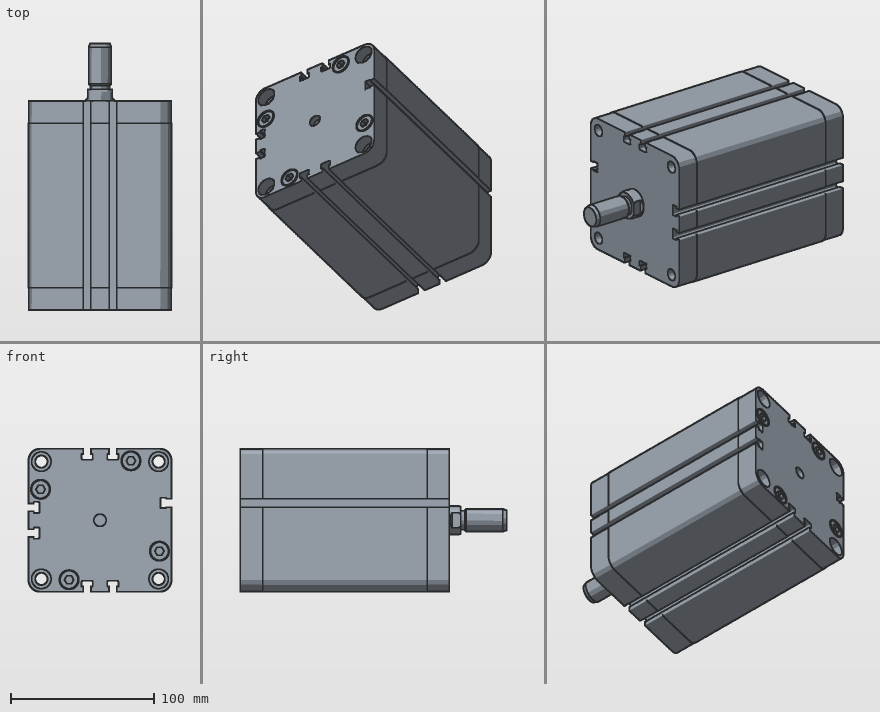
import cadquery as cq
import math

TOTAL_LENGTH = 186.0
BODY_LENGTH = 146.0
CAP_LENGTH = 15.6
BARREL_LENGTH = BODY_LENGTH - 2 * CAP_LENGTH
FRONT_Y = -TOTAL_LENGTH / 2
BACK_Y = FRONT_Y + BODY_LENGTH
TIP_Y = TOTAL_LENGTH / 2

BARREL_WIDTH = 100.0
BARREL_CORNER = 8.4
CAP_INSET = 0.28

TOP_SIDE = 0
RIGHT_SIDE = 90
BOTTOM_SIDE = 180
LEFT_SIDE = -90

SLOT_OFFSET = 9.0
SLOT_MOUTH = 5.2
SLOT_INNER = 7.6
SLOT_LIP = 3.9
SLOT_DEPTH = 7.8
SLOT_INNER_RADIUS = 1.0
SLOT_MOUTH_RADIUS = 0.4

SENSOR_SLOT_Z = 12.0
SENSOR_SLOT_MOUTH = 5.8
SENSOR_SLOT_INNER = 6.9
SENSOR_SLOT_LIP = 3.9
SENSOR_SLOT_DEPTH = 7.8

MOUNT_OFFSET = 41.0
MOUNT_HOLE = 8.4
MOUNT_COUNTERBORE = 13.5
MOUNT_COUNTERBORE_DEPTH = 8.5

SCREW_OUT = 41.5
SCREW_SIDE = 21.5
SCREW_RECESS = 13.5
SCREW_HEAD = 12.5
SCREW_GROOVE_DEPTH = 0.5
SOCKET_FLATS = 5.5
SOCKET_DEPTH = 3.7

CENTER_HOLE = 8.5
CENTER_HOLE_DEPTH = 4.6

COLLAR_DIAMETER = 20.0
COLLAR_LENGTH = 8.0
COLLAR_CHAMFER = 0.5
COLLAR_CHAMFER_LENGTH = 1.9
COLLAR_FLATS = 17.1
FLAT_LENGTH = 6.1
NECK_DIAMETER = 13.5
NECK_LENGTH = 3.7
THREAD_DIAMETER = 16.0
TIP_DIAMETER = 14.0
TIP_CHAMFER_LENGTH = 2.8


def front_plane(y, x=0, z=0):
    """Workplane facing -Y at the given point; negative extrusions run toward +Y."""
    return cq.Workplane("XZ", origin=(x, y, z))


def t_slot(section, offset, mouth, inner, lip, depth, inner_radius=0, mouth_radius=0):
    """T-slot along a (start, length, width) section, open through its top side at X = offset.

    Lip and depth are measured down from the barrel surface.
    """
    y, length, width = section
    barrel_z = BARREL_WIDTH / 2
    floor_height = depth - lip
    half = mouth / 2
    wide = (
        front_plane(y, offset, barrel_z - lip - floor_height / 2)
        .rect(inner, floor_height)
        .extrude(-length)
    )
    if inner_radius:
        wide = wide.edges("|Y and <Z").fillet(inner_radius)
    narrow = front_plane(y, offset, barrel_z - depth / 2).rect(mouth, depth).extrude(-length)
    slot = wide.union(narrow)
    if mouth_radius:
        flare = (
            front_plane(y, offset, width / 2)
            .moveTo(-half - mouth_radius, 0)
            .lineTo(half + mouth_radius, 0)
            .radiusArc((half, -mouth_radius), -mouth_radius)
            .lineTo(-half, -mouth_radius)
            .radiusArc((-half - mouth_radius, 0), -mouth_radius)
            .close()
            .extrude(-length)
        )
        slot = slot.union(flare)
    return slot


def turned(shape, angle):
    return shape.rotate((0, 0, 0), (0, 1, 0), angle)


def hole(x, z, diameter, depth):
    return front_plane(FRONT_Y, x, z).circle(diameter / 2).extrude(-depth)


def profile_section(y, length, inset):
    """Stretch of slotted square profile with its outer faces set in from the barrel surface."""
    width = BARREL_WIDTH - 2 * inset
    block = front_plane(y).rect(width, width).extrude(-length)
    block = block.edges("|Y").fillet(BARREL_CORNER - inset)
    section = (y, length, width)
    for offset in (-SLOT_OFFSET, SLOT_OFFSET):
        slot = t_slot(
            section,
            offset,
            SLOT_MOUTH,
            SLOT_INNER,
            SLOT_LIP,
            SLOT_DEPTH,
            SLOT_INNER_RADIUS,
            SLOT_MOUTH_RADIUS,
        )
        for angle in (TOP_SIDE, BOTTOM_SIDE, LEFT_SIDE):
            block = block.cut(turned(slot, angle))
    sensor_slot = t_slot(
        section,
        -SENSOR_SLOT_Z,
        SENSOR_SLOT_MOUTH,
        SENSOR_SLOT_INNER,
        SENSOR_SLOT_LIP,
        SENSOR_SLOT_DEPTH,
    )
    return block.cut(turned(sensor_slot, RIGHT_SIDE))


def make_body():
    front_cap = profile_section(FRONT_Y, CAP_LENGTH, CAP_INSET)
    barrel = profile_section(FRONT_Y + CAP_LENGTH, BARREL_LENGTH, 0)
    back_cap = profile_section(BACK_Y - CAP_LENGTH, CAP_LENGTH, CAP_INSET)
    return front_cap.union(barrel).union(back_cap)


def cut_mounting_holes(body):
    for x in (-MOUNT_OFFSET, MOUNT_OFFSET):
        for z in (-MOUNT_OFFSET, MOUNT_OFFSET):
            body = body.cut(hole(x, z, MOUNT_HOLE, BODY_LENGTH))
            body = body.cut(hole(x, z, MOUNT_COUNTERBORE, MOUNT_COUNTERBORE_DEPTH))
    return body


def cut_screws(body):
    """Narrow ring groove around each flush screw head, with a hexagon socket in the head."""
    socket_corners = SOCKET_FLATS / math.cos(math.pi / 6)
    positions = [
        (SCREW_SIDE, SCREW_OUT),
        (SCREW_OUT, -SCREW_SIDE),
        (-SCREW_SIDE, -SCREW_OUT),
        (-SCREW_OUT, SCREW_SIDE),
    ]
    for x, z in positions:
        recess = hole(x, z, SCREW_RECESS, SCREW_GROOVE_DEPTH)
        head = hole(x, z, SCREW_HEAD, SCREW_GROOVE_DEPTH)
        socket = front_plane(FRONT_Y, x, z).polygon(6, socket_corners).extrude(-SOCKET_DEPTH)
        body = body.cut(recess.cut(head)).cut(socket)
    return body


def make_rod():
    """Turned rod end: collar, undercut neck and threaded length, with two wrench flats."""
    collar_r = COLLAR_DIAMETER / 2
    neck_r = NECK_DIAMETER / 2
    thread_r = THREAD_DIAMETER / 2
    collar_end = BACK_Y + COLLAR_LENGTH
    thread_start = collar_end + NECK_LENGTH
    rod = (
        cq.Workplane("XY")
        .moveTo(0, BACK_Y)
        .lineTo(collar_r, BACK_Y)
        .lineTo(collar_r, collar_end - COLLAR_CHAMFER_LENGTH)
        .lineTo(collar_r - COLLAR_CHAMFER, collar_end)
        .lineTo(neck_r, collar_end)
        .lineTo(neck_r, thread_start - (thread_r - neck_r))
        .lineTo(thread_r, thread_start)
        .lineTo(thread_r, TIP_Y - TIP_CHAMFER_LENGTH)
        .lineTo(TIP_DIAMETER / 2, TIP_Y)
        .lineTo(0, TIP_Y)
        .close()
        .revolve(360, (0, 0, 0), (0, 1, 0))
    )
    flat_x = COLLAR_FLATS / 2
    flat_start = collar_end - FLAT_LENGTH
    runout = collar_r - flat_x
    for side in (-1, 1):
        flat_cut = (
            cq.Workplane("XY")
            .polyline([
                (side * flat_x, collar_end),
                (side * flat_x, flat_start),
                (side * (flat_x + runout), flat_start - runout),
                (side * (flat_x + runout), collar_end),
            ])
            .close()
            .extrude(collar_r, both=True)
        )
        rod = rod.cut(flat_cut)
    return rod


body = make_body()
body = cut_mounting_holes(body)
body = cut_screws(body)
body = body.cut(hole(0, 0, CENTER_HOLE, CENTER_HOLE_DEPTH))
result = body.union(make_rod())